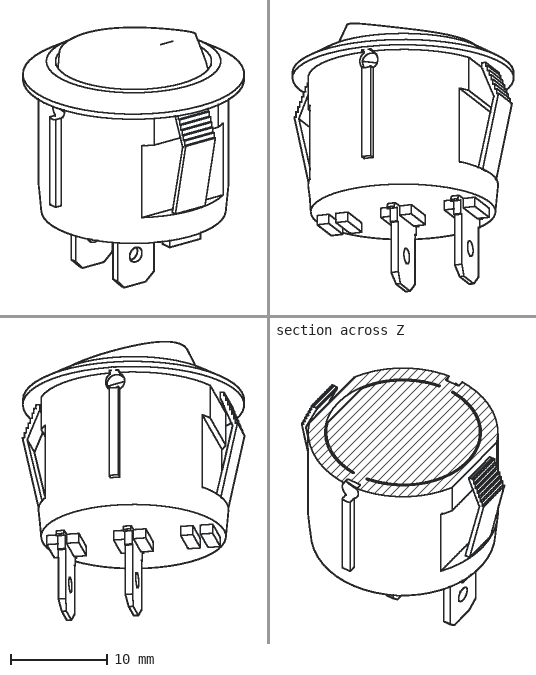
import cadquery as cq
import math

OVERALL_HEIGHT = 28.55

BEZEL_DIAMETER = 23.0
BEZEL_TOP_DIAMETER = 18.1
BEZEL_EDGE_HEIGHT = 0.57
BEZEL_HEIGHT = 2.0

BODY_DIAMETER = 19.73
CAP_END_DIAMETER = 19.2
CAP_TOP_Z = -11.68
BODY_BOTTOM_Z = -14.57
BORE_DIAMETER = 16.2
BORE_FLOOR_Z = -4.0

UPPER_FLAT_X = 8.95
LOWER_FLAT_X = 8.3
FLAT_STEP_Z = -3.6
LEDGE_Z = -11.6

RIB_WIDTH = 1.0
RIB_OUTER_Y = 10.6

PIVOT_DIAMETER = 2.0
PIVOT_Z = -0.97
PIN_END_Y = 9.15
PIN_RAMP_ANGLE = 35.0
ROCKER_TILT = 12.5
RIM_RADIUS = 7.0
RIM_HEIGHT = 5.37
DISH_DEPTH = 0.85
RIM_FILLET = 0.1

CLIP_WIDTH = 3.88
CLIP_TOP_OUTER_X = 9.95
CLIP_TOP_INNER_X = 9.55
CLIP_BEND_Z = -0.6
TOOTH_COUNT = 7
TOOTH_DEPTH = 0.205
FIRST_TOOTH_Z = -0.37
LAST_TOOTH_Z = -3.5
KNEE_INNER_X = 10.85
KNEE_INNER_Z = -3.77
CLIP_FOOT_X = 9.62
CLIP_FOOT_THICKNESS = 0.55

TERMINAL_PITCH = 7.08
TERMINAL_THICKNESS = 0.8
BLADE_WIDTH = 4.8
SHOULDER_WIDTH = 5.35
SHOULDER_Z = -16.36
BLADE_TIP_WIDTH = 2.8
BLADE_TIP_THICKNESS = 0.49
BLADE_TIP_LENGTH = 1.0
TERMINAL_HOLE_DIAMETER = 1.6
TERMINAL_HOLE_Z = -19.42
BARB_ROOT_HEIGHT = 0.35
BARB_TOP_REACH = 0.57
BARB_BULGE_REACH = 0.77
BARB_BULGE_DROP = 0.2
BARB_TIP_REACH = 0.89
BARB_TIP_DROP = 0.45
BARB_END_REACH = 0.8
BARB_END_DROP = 0.63
SOCKET_LENGTH = 3.4
SOCKET_WIDTH = 4.05
SOCKET_BOTTOM_Z = -15.57

EMBED = 0.29


def upright_box(x_size, y_size, z_low, z_high, x=0.0, y=0.0):
    """Box centred on (x, y) between two heights."""
    return (
        cq.Workplane("XY", origin=(x, y, z_low))
        .rect(x_size, y_size)
        .extrude(z_high - z_low)
    )


def housing():
    """Bezel, round body with flats and ribs, tapered cap, rocker bore and pivot holes."""
    profile = [
        (0, BODY_BOTTOM_Z),
        (CAP_END_DIAMETER / 2, BODY_BOTTOM_Z),
        (BODY_DIAMETER / 2, CAP_TOP_Z),
        (BODY_DIAMETER / 2, 0),
        (BEZEL_DIAMETER / 2, 0),
        (BEZEL_DIAMETER / 2, BEZEL_EDGE_HEIGHT),
        (BEZEL_TOP_DIAMETER / 2, BEZEL_HEIGHT),
        (0, BEZEL_HEIGHT),
    ]
    body = cq.Workplane("XZ").polyline(profile).close().revolve(360, (0, 0), (0, 1))

    body = body.union(upright_box(RIB_WIDTH, 2 * RIB_OUTER_Y, LEDGE_Z, 0))

    for side in (-1, 1):
        for flat_x, low, high in (
            (UPPER_FLAT_X, FLAT_STEP_Z, 0),
            (LOWER_FLAT_X, LEDGE_Z, FLAT_STEP_Z),
        ):
            centre_x = side * (flat_x + BODY_DIAMETER / 2)
            body = body.cut(upright_box(BODY_DIAMETER, BODY_DIAMETER, low, high, centre_x))

    bore = (
        cq.Workplane("XY", origin=(0, 0, BORE_FLOOR_Z))
        .circle(BORE_DIAMETER / 2)
        .extrude(BEZEL_HEIGHT - BORE_FLOOR_Z)
    )
    pivot_hole = (
        cq.Workplane("XZ", origin=(0, 0, PIVOT_Z))
        .circle(PIVOT_DIAMETER / 2)
        .extrude(BODY_DIAMETER, both=True)
    )
    return body.cut(bore).cut(pivot_hole)


def rocker():
    """Dished cone on a sphere about the pivot, with ramped pivot pins, tilted to -X."""
    tilt = math.radians(ROCKER_TILT)
    sphere_radius = RIM_RADIUS * math.cos(tilt) + RIM_HEIGHT * math.sin(tilt)
    base_z = -PIVOT_DIAMETER / 2
    base_radius = math.sqrt(sphere_radius**2 - base_z**2)
    tangent_point = (sphere_radius * math.cos(tilt), sphere_radius * math.sin(tilt))
    body = (
        cq.Workplane("XZ")
        .moveTo(0, base_z)
        .lineTo(base_radius, base_z)
        .threePointArc((sphere_radius, 0), tangent_point)
        .lineTo(RIM_RADIUS, RIM_HEIGHT)
        .lineTo(0, RIM_HEIGHT)
        .close()
        .revolve(360, (0, 0), (0, 1))
    )

    dish_radius = (RIM_RADIUS**2 + DISH_DEPTH**2) / (2 * DISH_DEPTH)
    dish_axis_z = RIM_HEIGHT - DISH_DEPTH + dish_radius
    dish = (
        cq.Workplane("XZ", origin=(0, 0, dish_axis_z))
        .circle(dish_radius)
        .extrude(sphere_radius, both=True)
    )
    body = body.cut(dish).faces("%CYLINDER").edges().fillet(RIM_FILLET)

    pin_radius = PIVOT_DIAMETER / 2
    ramp_setback = pin_radius * math.tan(math.radians(PIN_RAMP_ANGLE))
    pins = cq.Workplane("XZ").circle(pin_radius).extrude(PIN_END_Y, both=True)
    for side in (-1, 1):
        ramp = (
            cq.Workplane("YZ")
            .polyline([
                (side * PIN_END_Y, 0),
                (side * PIN_END_Y, -pin_radius),
                (side * (PIN_END_Y - ramp_setback), -pin_radius),
            ])
            .close()
            .extrude(pin_radius, both=True)
        )
        pins = pins.cut(ramp)

    body = body.union(pins)
    return body.rotate((0, 0, 0), (0, 1, 0), -ROCKER_TILT).translate((0, 0, PIVOT_Z))


def clip():
    """Bent spring strip on the +X side with a staircase of grip teeth on its upper leg."""
    outline = [(CLIP_TOP_INNER_X, EMBED), (CLIP_TOP_OUTER_X, EMBED)]
    tooth_pitch = (FIRST_TOOTH_Z - LAST_TOOTH_Z) / (TOOTH_COUNT - 1)
    for tooth in range(TOOTH_COUNT):
        tread_z = FIRST_TOOTH_Z - tooth * tooth_pitch
        riser_x = CLIP_TOP_OUTER_X + tooth * TOOTH_DEPTH
        outline.append((riser_x, tread_z))
        outline.append((riser_x + TOOTH_DEPTH, tread_z))
    outline += [
        (CLIP_FOOT_X, LEDGE_Z),
        (CLIP_FOOT_X, LEDGE_Z - EMBED),
        (CLIP_FOOT_X - CLIP_FOOT_THICKNESS, LEDGE_Z - EMBED),
        (CLIP_FOOT_X - CLIP_FOOT_THICKNESS, LEDGE_Z),
        (KNEE_INNER_X, KNEE_INNER_Z),
        (CLIP_TOP_INNER_X, CLIP_BEND_Z),
    ]
    return cq.Workplane("XZ").polyline(outline).close().extrude(CLIP_WIDTH / 2, both=True)


def barb():
    """Hooked barb on the +Y edge of a terminal, just below the cap."""
    edge_y = SHOULDER_WIDTH / 2
    top_z = BODY_BOTTOM_Z
    return (
        cq.Workplane("YZ")
        .moveTo(edge_y - EMBED, top_z)
        .lineTo(edge_y + BARB_TOP_REACH, top_z)
        .threePointArc(
            (edge_y + BARB_BULGE_REACH, top_z - BARB_BULGE_DROP),
            (edge_y + BARB_TIP_REACH, top_z - BARB_TIP_DROP),
        )
        .lineTo(edge_y + BARB_END_REACH, top_z - BARB_END_DROP)
        .lineTo(edge_y, top_z - BARB_ROOT_HEIGHT)
        .lineTo(edge_y - EMBED, top_z - BARB_ROOT_HEIGHT)
        .close()
        .extrude(TERMINAL_THICKNESS / 2, both=True)
    )


def terminal(tip_z):
    """Flat blade centred on X = 0 with shoulders, barbs, a hole and a tapered tip."""
    taper_z = tip_z + BLADE_TIP_LENGTH
    shoulder = upright_box(TERMINAL_THICKNESS, SHOULDER_WIDTH, SHOULDER_Z, BODY_BOTTOM_Z + EMBED)
    blade = upright_box(TERMINAL_THICKNESS, BLADE_WIDTH, taper_z, SHOULDER_Z)
    tip = (
        cq.Workplane("XY", origin=(0, 0, taper_z))
        .rect(TERMINAL_THICKNESS, BLADE_WIDTH)
        .workplane(offset=-BLADE_TIP_LENGTH)
        .rect(BLADE_TIP_THICKNESS, BLADE_TIP_WIDTH)
        .loft(ruled=True)
    )
    hole = (
        cq.Workplane("YZ", origin=(0, 0, TERMINAL_HOLE_Z))
        .circle(TERMINAL_HOLE_DIAMETER / 2)
        .extrude(TERMINAL_THICKNESS, both=True)
    )
    one_barb = barb()
    return shoulder.union(blade).union(tip).union(one_barb).union(one_barb.mirror("XZ")).cut(hole)


def socket():
    """Block under the cap, centred on X = 0, that surrounds one terminal position."""
    return upright_box(SOCKET_LENGTH, SOCKET_WIDTH, SOCKET_BOTTOM_Z, BODY_BOTTOM_Z + EMBED)


def empty_slot():
    """Slot across the socket that has no terminal."""
    return upright_box(TERMINAL_THICKNESS, SOCKET_WIDTH, SOCKET_BOTTOM_Z, BODY_BOTTOM_Z)


tilted_rocker = rocker()
terminal_tip_z = tilted_rocker.val().BoundingBox().zmax - OVERALL_HEIGHT
spring_clip = clip()

result = housing().union(tilted_rocker).union(spring_clip).union(spring_clip.mirror("YZ"))

for socket_x in (-TERMINAL_PITCH, 0, TERMINAL_PITCH):
    result = result.union(socket().translate((socket_x, 0, 0)))

for terminal_x in (-TERMINAL_PITCH, 0):
    result = result.union(terminal(terminal_tip_z).translate((terminal_x, 0, 0)))

result = result.cut(empty_slot().translate((TERMINAL_PITCH, 0, 0)))